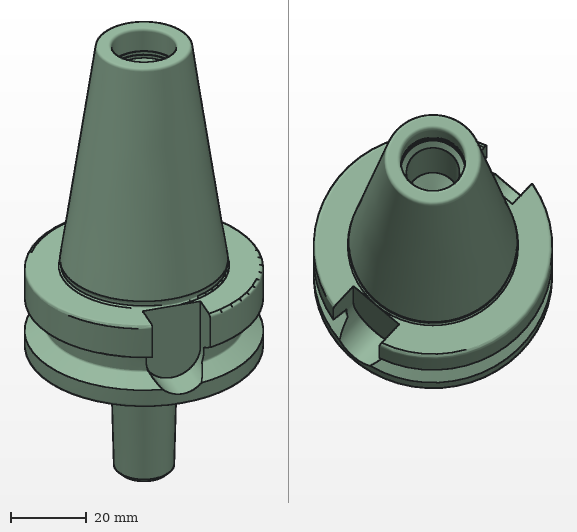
import cadquery as cq
import math

GAUGE_RADIUS = 44.45 / 2
TAPER_LENGTH = 65.4
TAPER_RATE = 7 / 24
TIP_RADIUS = GAUGE_RADIUS - TAPER_LENGTH * TAPER_RATE / 2
TIP_FILLET = 1.0

NECK_LENGTH = 2.0
NECK_RADIUS = 22.0
NECK_STEP = 0.8
NECK_FILLET = 0.5

FLANGE_RADIUS = 63 / 2
FLANGE_THICKNESS = 25.0
FLANGE_FILLET = 1.0
GROOVE_FLOOR_RADIUS = 53 / 2
GROOVE_FLOOR_WIDTH = 4.2
GROOVE_CENTRE_DEPTH = 14.7
GROOVE_FLANK_ANGLE = 30
GROOVE_FILLET = 0.5

SLOT_WIDTH = 16.1
SLOT_DEPTH = 21.75
SLOT_FLOOR_OFFSET = 22.5
SLOT_OVERRUN = 1.0

NOSE_LENGTH = 37.0
NOSE_FILLET = 3.0
NOSE_LARGE_RADIUS = 17.78 / 2
NOSE_TAPER_RATE = 1 / 20.02
NOSE_TIP_CHAMFER = 1.5

BORE_RADIUS = 17 / 2
BORE_MOUTH_FILLET = 1.0
BORE_DEPTH = 9.0
RING_GROOVE_RADIUS = 8.75
RING_GROOVE_DEPTH = 7.0
RING_GROOVE_WIDTH = 1.1
DRILL_RADIUS = 14 / 2
DRILL_DEPTH = 30.0
DRILL_POINT_ANGLE = 118

FLANGE_TOP = -NECK_LENGTH
FLANGE_BOTTOM = FLANGE_TOP - FLANGE_THICKNESS
NOSE_TIP = FLANGE_BOTTOM - NOSE_LENGTH


def nose_radius(z):
    """Radius of the nose taper at height z."""
    return NOSE_LARGE_RADIUS - (FLANGE_BOTTOM - z) * NOSE_TAPER_RATE / 2


def body():
    """Turned outer shape, from the nose tip up to the shank tip."""
    flank_height = (FLANGE_RADIUS - GROOVE_FLOOR_RADIUS) * math.tan(math.radians(GROOVE_FLANK_ANGLE))
    groove_centre = FLANGE_TOP - GROOVE_CENTRE_DEPTH
    floor_top = groove_centre + GROOVE_FLOOR_WIDTH / 2
    floor_bottom = groove_centre - GROOVE_FLOOR_WIDTH / 2
    nose_top = FLANGE_BOTTOM - NOSE_FILLET
    chamfer_top = NOSE_TIP + NOSE_TIP_CHAMFER
    nose_top_radius = nose_radius(nose_top)
    nose_end_radius = nose_radius(chamfer_top)

    profile = (
        cq.Workplane("XZ")
        .moveTo(0, NOSE_TIP)
        .lineTo(nose_end_radius - NOSE_TIP_CHAMFER, NOSE_TIP)
        .lineTo(nose_end_radius, chamfer_top)
        .lineTo(nose_top_radius, nose_top)
        .radiusArc((nose_top_radius + NOSE_FILLET, FLANGE_BOTTOM), NOSE_FILLET)
        .lineTo(FLANGE_RADIUS - FLANGE_FILLET, FLANGE_BOTTOM)
        .radiusArc((FLANGE_RADIUS, FLANGE_BOTTOM + FLANGE_FILLET), -FLANGE_FILLET)
        .lineTo(FLANGE_RADIUS, floor_bottom - flank_height)
        .lineTo(GROOVE_FLOOR_RADIUS, floor_bottom)
        .lineTo(GROOVE_FLOOR_RADIUS, floor_top)
        .lineTo(FLANGE_RADIUS, floor_top + flank_height)
        .lineTo(FLANGE_RADIUS, FLANGE_TOP - FLANGE_FILLET)
        .radiusArc((FLANGE_RADIUS - FLANGE_FILLET, FLANGE_TOP), -FLANGE_FILLET)
        .lineTo(NECK_RADIUS + NECK_FILLET, FLANGE_TOP)
        .radiusArc((NECK_RADIUS, FLANGE_TOP + NECK_FILLET), NECK_FILLET)
        .lineTo(NECK_RADIUS, -NECK_STEP)
        .lineTo(GAUGE_RADIUS, 0)
        .lineTo(TIP_RADIUS, TAPER_LENGTH)
        .lineTo(0, TAPER_LENGTH)
        .close()
    )
    turned = profile.revolve(360, (0, 0, 0), (0, 1, 0))
    turned = turned.faces(">Z").edges().fillet(TIP_FILLET)
    reach = GROOVE_FLOOR_RADIUS + GROOVE_FILLET
    floor_zone = cq.selectors.BoxSelector(
        (-reach, -reach, floor_bottom - GROOVE_FILLET),
        (reach, reach, floor_top + GROOVE_FILLET),
        boundingbox=True,
    )
    floor_corners = turned.edges(floor_zone & cq.selectors.TypeSelector("CIRCLE"))
    return floor_corners.fillet(GROOVE_FILLET)


def drive_slot(side):
    """Round-bottomed slot through the flange on the +X (side = 1) or -X (side = -1) side."""
    half_width = SLOT_WIDTH / 2
    arc_centre = FLANGE_TOP - SLOT_DEPTH + half_width
    slot = (
        cq.Workplane("YZ", origin=(side * SLOT_FLOOR_OFFSET, 0, 0))
        .moveTo(-half_width, FLANGE_TOP)
        .lineTo(-half_width, arc_centre)
        .threePointArc((0, FLANGE_TOP - SLOT_DEPTH), (half_width, arc_centre))
        .lineTo(half_width, FLANGE_TOP)
        .close()
    )
    return slot.extrude(side * (FLANGE_RADIUS - SLOT_FLOOR_OFFSET + SLOT_OVERRUN))


def pull_stud_bore():
    """Counterbore with a rounded mouth and a ring groove, then a conical shoulder and a pointed hole."""
    bore_bottom = TAPER_LENGTH - BORE_DEPTH
    ring_top = TAPER_LENGTH - RING_GROOVE_DEPTH
    ring_bottom = ring_top - RING_GROOVE_WIDTH
    shoulder_bottom = bore_bottom - (BORE_RADIUS - DRILL_RADIUS)
    drill_bottom = TAPER_LENGTH - DRILL_DEPTH
    point_height = DRILL_RADIUS / math.tan(math.radians(DRILL_POINT_ANGLE / 2))
    profile = (
        cq.Workplane("XZ")
        .moveTo(0, TAPER_LENGTH)
        .lineTo(BORE_RADIUS + BORE_MOUTH_FILLET, TAPER_LENGTH)
        .radiusArc((BORE_RADIUS, TAPER_LENGTH - BORE_MOUTH_FILLET), -BORE_MOUTH_FILLET)
        .lineTo(BORE_RADIUS, ring_top)
        .lineTo(RING_GROOVE_RADIUS, ring_top)
        .lineTo(RING_GROOVE_RADIUS, ring_bottom)
        .lineTo(BORE_RADIUS, ring_bottom)
        .lineTo(BORE_RADIUS, bore_bottom)
        .lineTo(DRILL_RADIUS, shoulder_bottom)
        .lineTo(DRILL_RADIUS, drill_bottom)
        .lineTo(0, drill_bottom - point_height)
        .close()
    )
    return profile.revolve(360, (0, 0, 0), (0, 1, 0))


result = body().cut(pull_stud_bore())
for slot_side in (1, -1):
    result = result.cut(drive_slot(slot_side))